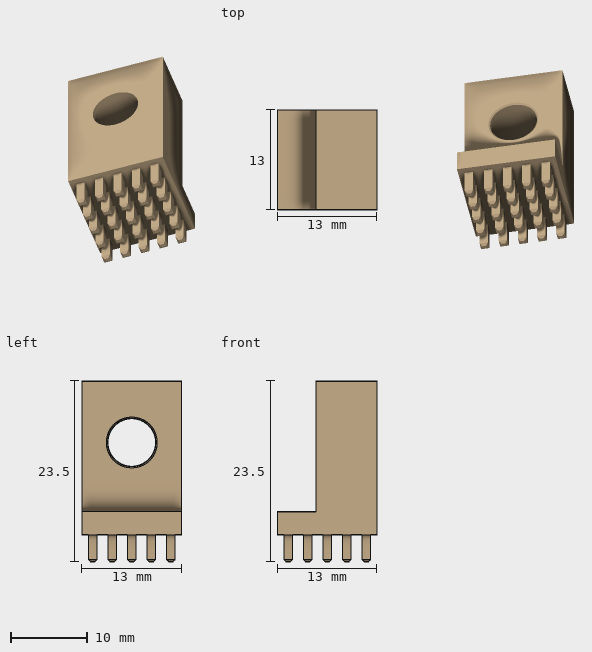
import cadquery as cq

total_height = 23.5
body_width = 13.0
pin_length = 3.5
body_height = total_height - pin_length

foot_height = 3.0
foot_depth = 5.0
upright_depth = body_width - foot_depth

hole_diameter = 6.2
hole_chamfer = 0.2
hole_drop = 8.0

pins_per_side = 5
pin_pitch = 2.54
pin_width = 1.13
pin_tip_chamfer = 0.3


def make_body():
    """L-shaped block, centred in plan, with its underside at Z = 0."""
    foot = cq.Workplane("XY").box(body_width, body_width, foot_height, centered=(True, True, False))
    upright = (
        cq.Workplane("XY")
        .center((body_width - upright_depth) / 2, 0)
        .box(upright_depth, body_width, body_height, centered=(True, True, False))
    )
    return foot.union(upright)


def make_hole():
    """Through-hole cutter along X, with a conical lead-in on the face above the step."""
    radius = hole_diameter / 2
    mouth_radius = radius + hole_chamfer
    axis_height = body_height - hole_drop
    front_x = foot_depth - body_width / 2
    back_x = body_width / 2
    return (
        cq.Workplane("XZ")
        .center(0, axis_height)
        .moveTo(front_x, 0)
        .lineTo(front_x, mouth_radius)
        .lineTo(front_x + hole_chamfer, radius)
        .lineTo(back_x, radius)
        .lineTo(back_x, 0)
        .close()
        .revolve(360, (0, 0, 0), (1, 0, 0))
    )


def make_pins():
    """Grid of square pins hanging from Z = 0, each with a tapered tip."""
    shank_length = pin_length - pin_tip_chamfer
    tip_width = pin_width - 2 * pin_tip_chamfer
    shanks = (
        cq.Workplane("XY")
        .rarray(pin_pitch, pin_pitch, pins_per_side, pins_per_side)
        .rect(pin_width, pin_width)
        .extrude(-shank_length)
    )
    tip = (
        cq.Workplane("XY", origin=(0, 0, -shank_length))
        .rect(pin_width, pin_width)
        .workplane(offset=-pin_tip_chamfer)
        .rect(tip_width, tip_width)
        .loft(ruled=True)
        .val()
    )
    tips = (
        cq.Workplane("XY")
        .rarray(pin_pitch, pin_pitch, pins_per_side, pins_per_side)
        .eachpoint(lambda location: tip.moved(location))
    )
    return shanks.union(tips)


result = make_body().cut(make_hole()).union(make_pins())